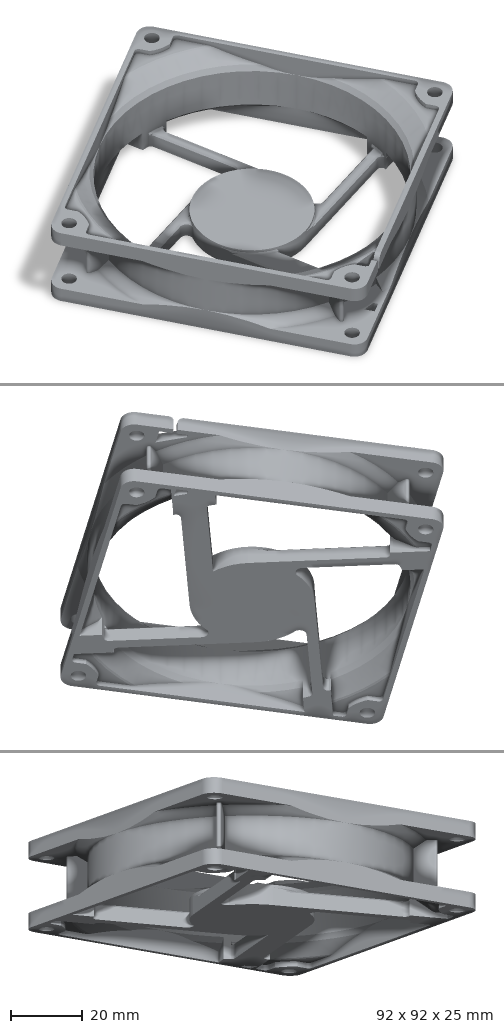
import cadquery as cq
import math

side = 92.0
height = 25.0
corner_radius = 3.9
flange_thickness = 4.5
screw_offset = 41.2
screw_diameter = 4.3

barrel_radius = 46.0
skirt_radius = 49.6
skirt_height = 2.3

bore_radius = 44.3
throat_radius = 45.5
throat_depth = 4.9
mouth_radius = 50.6
mouth_depth = 1.75
rim_radius = 51.2
bore_depth = 6.35
recess_depth = 1.6
wall_thickness = 1.7
inner_half = side / 2 - wall_thickness

pad_reach = 5.5
nose_reach = 3.6
nose_end = 1.0
recess_corner_radius = 1.2

rib_thickness = 1.4
rib_tip_radius = 52.7

hub_radius = 17.5
hub_height = 5.9
spoke_height = 4.6
spoke_width = 3.1
wide_spoke_width = 7.45
spoke_bevel = 0.5
hub_fillet = 2.0
ring_fillet = 1.5
blend_overlap = 0.1
foot_outer_margin = 2.0
foot_inner_margin = 2.8
buried_length = 5.5
spoke_tilt = 15.0
narrow_spoke_angles = [90 - spoke_tilt, 180 - spoke_tilt, 270 - spoke_tilt]
wide_spoke_angle = -spoke_tilt

cable_front = -35.4
cable_back = -27.3
cable_inner_front = 39.4
cable_inner_back = 43.3
cable_hole_front = -30.6
cable_hole_outer = 44.7
slot_front = -31.65
slot_back = -30.5
slot_front_round = 1.3
slot_back_round = 2.0
skirt_relief_width = 15.9

top_flange_bottom = height - flange_thickness


def plate(width, thickness, z):
    """Square plate centred on the axis, with its underside at z."""
    return cq.Workplane("XY").workplane(offset=z).rect(width, width).extrude(thickness)


def disc(radius, thickness, z=0.0):
    return cq.Workplane("XY").workplane(offset=z).circle(radius).extrude(thickness)


def turned(points):
    """Solid of revolution about Z from (radius, z) points."""
    return cq.Workplane("XZ").polyline(points).close().revolve(360, (0, 0, 0), (0, 1, 0))


def at_top(bottom_feature):
    """Copy of a bottom-end feature, mirrored to the top end."""
    return bottom_feature.mirror("XY").translate((0, 0, height))


def outer_body():
    skirt_top = flange_thickness + skirt_height
    skirt = turned([
        (0, flange_thickness),
        (skirt_radius, flange_thickness),
        (barrel_radius, skirt_top),
        (0, skirt_top),
    ])
    flange = plate(side, flange_thickness, 0)
    barrel = disc(barrel_radius, height - 2 * flange_thickness, flange_thickness)
    body = barrel.union(skirt).union(at_top(skirt)).union(flange).union(at_top(flange))
    envelope = plate(side, height, 0).edges("|Z").fillet(corner_radius)
    return body.intersect(envelope)


def ribs():
    """Two crossing round-ended bars; only their ends outside the air passage remain."""
    span = height - 2 * flange_thickness
    level = cq.Workplane("XY").workplane(offset=flange_thickness)
    diagonal = level.slot2D(2 * rib_tip_radius, rib_thickness, 45).extrude(span)
    return diagonal.union(diagonal.rotate((0, 0, 0), (0, 0, 1), 90))


def corner_pad():
    """Raised pad of the +X +Y corner that the recess leaves around the screw hole."""
    low = screw_offset - pad_reach
    shallow = screw_offset - nose_end
    nose = screw_offset - nose_reach
    return (
        cq.Workplane("XY")
        .moveTo(low, side / 2)
        .lineTo(low, shallow)
        .threePointArc((nose, nose), (shallow, low))
        .lineTo(side / 2, low)
        .lineTo(side / 2, side / 2)
        .close()
        .extrude(recess_depth)
    )


def recess():
    pocket = plate(2 * inner_half, recess_depth, 0)
    for quarter in range(4):
        pocket = pocket.cut(corner_pad().rotate((0, 0, 0), (0, 0, 1), 90 * quarter))
    upright = cq.selectors.ParallelDirSelector(cq.Vector(0, 0, 1))
    away_from_walls = cq.selectors.BoxSelector(
        (wall_thickness - inner_half, wall_thickness - inner_half, 0),
        (inner_half - wall_thickness, inner_half - wall_thickness, recess_depth),
    )
    wall_corners = cq.selectors.SubtractSelector(upright, away_from_walls)
    return pocket.edges(wall_corners).fillet(recess_corner_radius)


def mouth():
    """Flared bottom mouth of the air passage, with flat sides where it meets the walls."""
    flare = turned([
        (0, 0),
        (rim_radius, 0),
        (rim_radius, recess_depth),
        (mouth_radius, mouth_depth),
        (throat_radius, throat_depth),
        (bore_radius, bore_depth),
        (0, bore_depth),
    ])
    return flare.intersect(plate(2 * inner_half, height, 0)).union(recess())


def lane(start, width, thickness):
    """Long block along +X whose sides are at y = start and y = start + width."""
    return cq.Workplane("XY").box(side, width, thickness, centered=False).translate((0, start, 0))


def in_spoke_frame(shape, angle):
    """Mirror a spoke feature from the +Y to the -Y side of +X, then turn it by angle about Z."""
    return shape.mirror("XZ").rotate((0, 0, 0), (0, 0, 1), angle)


def spoke_foot(width, angle):
    """Block that fills the bottom mouth where a spoke meets the barrel."""
    low = hub_radius - width - foot_inner_margin
    foot_width = width + foot_inner_margin + foot_outer_margin
    return in_spoke_frame(lane(low, foot_width, bore_depth), angle).cut(disc(bore_radius, bore_depth))


def fillet_points(edge, void, radius, blend, outside):
    """Start, middle and end of a round from the line y = edge to a circle about the hub axis.

    void is +1 or -1 for the open side of the line; outside is +1 or -1 for the open side of the circle.
    """
    reach = radius + outside * blend
    centre_y = edge + void * blend
    centre_x = math.sqrt(reach ** 2 - centre_y ** 2)
    on_line = (centre_x, edge)
    on_circle = (centre_x * radius / reach, centre_y * radius / reach)
    toward_x = (on_line[0] + on_circle[0]) / 2 - centre_x
    toward_y = (on_line[1] + on_circle[1]) / 2 - centre_y
    length = math.hypot(toward_x, toward_y)
    middle = (centre_x + blend * toward_x / length, centre_y + blend * toward_y / length)
    return on_line, middle, on_circle


def spoke(width, angle, rounded_at_hub):
    """Spoke tangent to the hub, with bevelled top edges and bevels up to the hub and the barrel."""
    outer = hub_radius
    inner = hub_radius - width
    ring_radius = bore_radius + blend_overlap
    outer_line, outer_middle, outer_ring = fillet_points(outer, 1, ring_radius, ring_fillet, -1)
    inner_line, inner_middle, inner_ring = fillet_points(inner, -1, ring_radius, ring_fillet, -1)
    outline = (
        cq.Workplane("XY")
        .moveTo(0, outer)
        .lineTo(*outer_line)
        .threePointArc(outer_middle, outer_ring)
        .lineTo(outer_ring[0] + buried_length, outer_ring[1])
        .lineTo(inner_ring[0] + buried_length, inner_ring[1])
        .lineTo(*inner_ring)
        .threePointArc(inner_middle, inner_line)
    )
    if rounded_at_hub:
        hub_line, hub_middle, hub_end = fillet_points(inner, -1, hub_radius - blend_overlap, hub_fillet, 1)
        outline = outline.lineTo(*hub_line).threePointArc(hub_middle, hub_end).lineTo(0, hub_end[1])
    else:
        outline = outline.lineTo(0, inner)
    bar = outline.close().extrude(spoke_height).faces(">Z").chamfer(spoke_bevel)
    bar = bar.intersect(disc((bore_radius + barrel_radius) / 2, spoke_height))
    bevel_base = spoke_height - spoke_bevel
    bevel_top = spoke_height + spoke_bevel
    hub_bevel = turned([
        (hub_radius - spoke_bevel, bevel_base),
        (hub_radius + spoke_bevel, bevel_base),
        (hub_radius + spoke_bevel, spoke_height),
        (hub_radius, bevel_top),
        (hub_radius - spoke_bevel, bevel_top),
    ])
    ring_bevel = turned([
        (bore_radius - spoke_bevel, bevel_base),
        (bore_radius + spoke_bevel, bevel_base),
        (bore_radius + spoke_bevel, bevel_top),
        (bore_radius, bevel_top),
        (bore_radius - spoke_bevel, spoke_height),
    ])
    hub_lane = lane(inner, width, height)
    ring_lane = lane(inner - ring_fillet / 2, width + ring_fillet, height)
    bar = bar.union(hub_bevel.intersect(hub_lane)).union(ring_bevel.intersect(ring_lane))
    return in_spoke_frame(bar, angle)


def cable_opening(front, outer, z):
    """Cable hole through one flange, bounded inside by a slanted edge."""
    slant = (cable_inner_back - cable_inner_front) / (cable_back - cable_front)
    inner_front = cable_inner_front + slant * (front - cable_front)
    outline = [
        (outer, cable_back),
        (cable_inner_back, cable_back),
        (inner_front, front),
        (outer, front),
    ]
    return cq.Workplane("XY").workplane(offset=z).polyline(outline).close().extrude(flange_thickness)


def cable_slot():
    """Slot through the top +X wall, with rounded lead-in edges."""
    diag = 1 - math.sqrt(0.5)
    front_round = slot_front_round
    back_round = slot_back_round
    return (
        cq.Workplane("YZ", origin=(inner_half, 0, 0))
        .moveTo(slot_front, top_flange_bottom)
        .lineTo(slot_front, height - front_round)
        .threePointArc(
            (slot_front - diag * front_round, height - diag * front_round),
            (slot_front - front_round, height),
        )
        .lineTo(slot_back + back_round, height)
        .threePointArc(
            (slot_back + diag * back_round, height - diag * back_round),
            (slot_back, height - back_round),
        )
        .lineTo(slot_back, top_flange_bottom)
        .close()
        .extrude(wall_thickness)
    )


def skirt_relief():
    """Cable space beside the +X -Y rib, where the bottom skirt is cleared back to the barrel."""
    start = rib_thickness / 2
    block = lane(start, skirt_relief_width - start, skirt_height)
    block = block.translate((0, 0, flange_thickness)).rotate((0, 0, 0), (0, 0, 1), -45)
    return block.cut(disc(barrel_radius, height))


frame = outer_body().cut(skirt_relief()).union(ribs())

bottom_mouth = mouth()
passage = disc(bore_radius, height).union(bottom_mouth).union(at_top(bottom_mouth))
for angle in narrow_spoke_angles:
    passage = passage.cut(spoke_foot(spoke_width, angle))
passage = passage.cut(spoke_foot(wide_spoke_width, wide_spoke_angle))
frame = frame.cut(passage)

screws = (
    cq.Workplane("XY")
    .rect(2 * screw_offset, 2 * screw_offset, forConstruction=True)
    .vertices()
    .circle(screw_diameter / 2)
    .extrude(height)
)
frame = frame.cut(screws)

frame = frame.cut(cable_opening(cable_front, inner_half, top_flange_bottom))
frame = frame.cut(cable_opening(cable_hole_front, cable_hole_outer, 0))
frame = frame.cut(cable_slot())

spider = disc(hub_radius, hub_height)
for angle in narrow_spoke_angles:
    spider = spider.union(spoke(spoke_width, angle, True))
spider = spider.union(spoke(wide_spoke_width, wide_spoke_angle, False))
result = frame.union(spider)